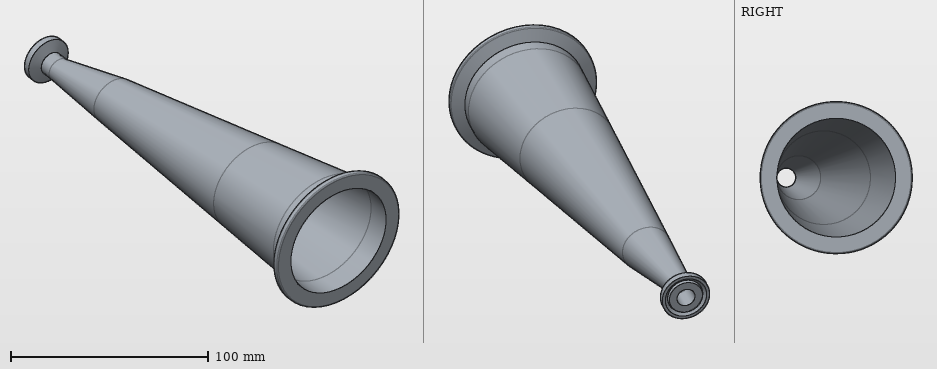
import cadquery as cq

length = 216.0
large_tube_d = 63.5
large_bore_d = 60.2
large_flange_d = 77.3
small_tube_d = 12.7
small_flange_d = 25.0
wall = (large_tube_d - large_bore_d) / 2

ferrule_length = 12.7
small_rim_thickness = 3.7
large_rim_thickness = 3.2
flange_depth = 6.0
large_rim_round = 0.6

small_break_x = 50.7
large_break_x = 152.5
small_break_d = 25.5
large_break_d = 50.7

groove_outer_d = 21.8
groove_floor_d = 18.5
groove_inner_d = 17.5
groove_depth = 1.5

bottom_y = -large_tube_d / 2
small_axis_y = bottom_y + small_tube_d / 2
large_axis_y = 0.0

sections = [
    (0.0, small_tube_d),
    (ferrule_length, small_tube_d),
    (small_break_x, small_break_d),
    (large_break_x, large_break_d),
    (length - ferrule_length, large_tube_d),
    (length, large_tube_d),
]


def section_circle(x, outer_d, inset):
    """Circle normal to X, shrunk by inset about the centre of its section."""
    center = cq.Vector(x, bottom_y + outer_d / 2, 0)
    circle = cq.Edge.makeCircle(outer_d / 2 - inset, center, cq.Vector(1, 0, 0))
    return cq.Wire.assembleEdges([circle])


def tapered_tube(inset):
    """Solid with straight sides through all sections, shrunk by inset."""
    wires = [section_circle(x, d, inset) for x, d in sections]
    return cq.Workplane(obj=cq.Solid.makeLoft(wires, True))


def revolve_about_x(profile, axis_y):
    """Turn a closed (x, radius) profile about the line parallel to X at axis_y."""
    turned = cq.Workplane("XY").polyline(profile).close().revolve(360, (0, 0, 0), (1, 0, 0))
    return turned.translate((0, axis_y, 0))


def flange(face_x, inward, flange_d, rim_thickness, tube_d, axis_y):
    """Rim with a conical back; inward is the X direction from face to body."""
    profile = [
        (face_x, 0),
        (face_x, flange_d / 2),
        (face_x + inward * rim_thickness, flange_d / 2),
        (face_x + inward * flange_depth, tube_d / 2),
        (face_x + inward * flange_depth, 0),
    ]
    return revolve_about_x(profile, axis_y)


def gasket_groove():
    """Ring with a sloping outer wall and a steeper inner wall."""
    profile = [
        (0, groove_outer_d / 2),
        (groove_depth, groove_floor_d / 2),
        (0, groove_inner_d / 2),
    ]
    return revolve_about_x(profile, small_axis_y)


small_flange = flange(0, 1, small_flange_d, small_rim_thickness, small_tube_d, small_axis_y)
large_flange = flange(length, -1, large_flange_d, large_rim_thickness, large_tube_d, large_axis_y)

rim_edges = cq.selectors.RadiusNthSelector(-1)
large_flange = large_flange.edges(rim_edges).fillet(large_rim_round)

outside = tapered_tube(0).union(small_flange).union(large_flange)

result = outside.cut(tapered_tube(wall)).cut(gasket_groove()).solids()